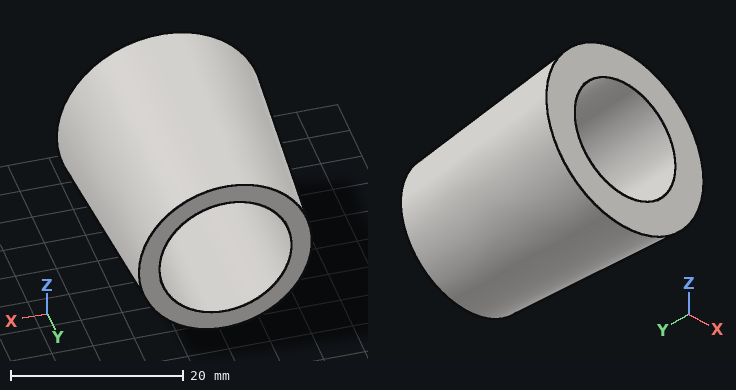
import cadquery as cq

length = 27.0
large_diameter = 25.0
small_diameter = 21.0
bore_diameter = 16.0

bore_radius = bore_diameter / 2
large_radius = large_diameter / 2
small_radius = small_diameter / 2

wall_section = (
    cq.Workplane("XY")
    .moveTo(bore_radius, 0)
    .lineTo(large_radius, 0)
    .lineTo(small_radius, length)
    .lineTo(bore_radius, length)
    .close()
)

result = wall_section.revolve(360, (0, 0, 0), (0, 1, 0))